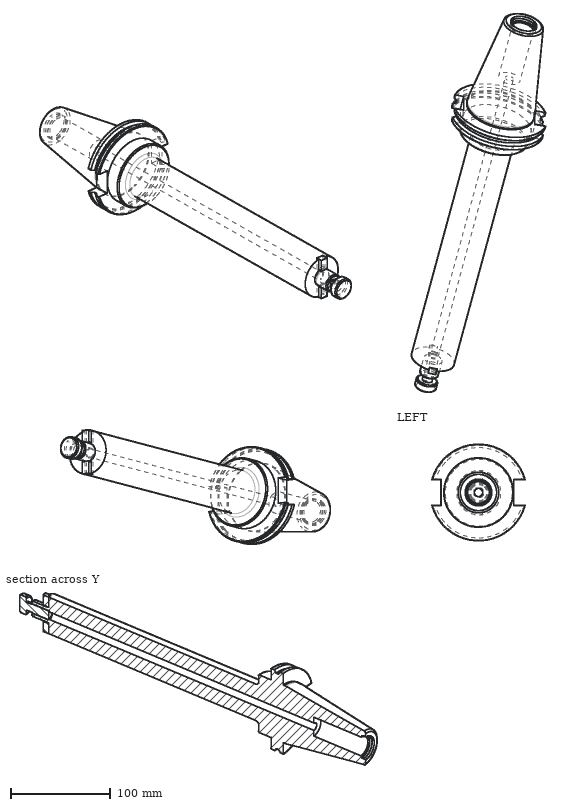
import cadquery as cq

total_length = 439.5
gauge_x = 101.5
flange_front_x = 105.0
flange_rear_x = 121.0
collar_end_x = 136.7
body_end_x = 405.8
pilot_end_x = 424.2
screw_head_x = 431.0

taper_small_diameter = 41.0
neck_diameter = 70.0
neck_relief_diameter = 69.5
flange_diameter = 97.0
collar_diameter = 70.0
body_diameter = 44.5
pilot_diameter = 19.0
pilot_relief_diameter = 18.5

taper_end_chamfer_length = 1.8
taper_end_chamfer_height = 2.0
neck_relief_width = 1.5
flange_rear_chamfer = 1.0
collar_chamfer = 1.5
body_root_fillet = 3.0
pilot_relief_flat = 1.5
pilot_relief_taper = 1.5
pilot_chamfer = 1.5

groove_center_x = 112.5
groove_top_width = 7.0
groove_floor_width = 2.5
groove_depth = 3.0

slot_width = 26.0
slot_floor_plus_y = 38.0
slot_floor_minus_y = 35.5

mouth_diameter = 27.0
mouth_depth = 2.5
counterbore_diameter = 26.5
counterbore_depth = 5.3
bore_lead_in_diameter = 25.0
bore_lead_in_length = 1.0
bore_diameter = 22.0
bore_depth = 66.0
channel_diameter = 8.5

screw_head_diameter = 22.0
screw_head_chamfer = 1.5
screw_shank_diameter = 10.0
screw_engagement = 22.0

key_width = 8.0
key_start_x = 403.0
key_end_x = 409.7
key_inner_z = 9.5
key_outer_z = body_diameter / 2


def cylinder_along_x(diameter, x_start, x_end):
    """Cylinder on the tool axis between two stations."""
    circle = cq.Workplane("YZ", origin=(x_start, 0, 0)).circle(diameter / 2)
    return circle.extrude(x_end - x_start)


def revolve_about_x(profile):
    """Full turn of a half-profile about the tool axis."""
    return profile.close().revolve(360, (0, 0, 0), (1, 0, 0))


def make_holder_blank():
    """Taper, flange, collar, body and pilot turned as one profile."""
    taper_small_radius = taper_small_diameter / 2
    neck_radius = neck_diameter / 2
    neck_relief_radius = neck_relief_diameter / 2
    neck_relief_x = flange_front_x - neck_relief_width
    flange_radius = flange_diameter / 2
    collar_radius = collar_diameter / 2
    body_radius = body_diameter / 2
    pilot_radius = pilot_diameter / 2
    pilot_relief_radius = pilot_relief_diameter / 2
    pilot_relief_end_x = body_end_x + pilot_relief_flat

    profile = (
        cq.Workplane("XY")
        .moveTo(0, 0)
        .lineTo(0, taper_small_radius - taper_end_chamfer_height)
        .lineTo(taper_end_chamfer_length, taper_small_radius)
        .lineTo(gauge_x, neck_radius)
        .lineTo(neck_relief_x, neck_radius)
        .lineTo(neck_relief_x, neck_relief_radius)
        .lineTo(flange_front_x, neck_relief_radius)
        .lineTo(flange_front_x, flange_radius)
        .lineTo(flange_rear_x - flange_rear_chamfer, flange_radius)
        .lineTo(flange_rear_x, flange_radius - flange_rear_chamfer)
        .lineTo(flange_rear_x, collar_radius)
        .lineTo(collar_end_x - collar_chamfer, collar_radius)
        .lineTo(collar_end_x, collar_radius - collar_chamfer)
        .lineTo(collar_end_x, body_radius + body_root_fillet)
        .radiusArc((collar_end_x + body_root_fillet, body_radius), -body_root_fillet)
        .lineTo(body_end_x, body_radius)
        .lineTo(body_end_x, pilot_relief_radius)
        .lineTo(pilot_relief_end_x, pilot_relief_radius)
        .lineTo(pilot_relief_end_x + pilot_relief_taper, pilot_radius)
        .lineTo(pilot_end_x - pilot_chamfer, pilot_radius)
        .lineTo(pilot_end_x, pilot_radius - pilot_chamfer)
        .lineTo(pilot_end_x, 0)
    )
    return revolve_about_x(profile)


def make_flange_groove():
    """Ring with the trapezoidal section of the flange groove."""
    top_radius = flange_diameter / 2
    floor_radius = top_radius - groove_depth
    profile = (
        cq.Workplane("XY")
        .moveTo(groove_center_x - groove_top_width / 2, top_radius)
        .lineTo(groove_center_x - groove_floor_width / 2, floor_radius)
        .lineTo(groove_center_x + groove_floor_width / 2, floor_radius)
        .lineTo(groove_center_x + groove_top_width / 2, top_radius)
    )
    return revolve_about_x(profile)


def make_driving_slot(side, floor_distance):
    """Block that cuts one driving slot through the flange; side is +1 or -1 along Y."""
    flange_thickness = flange_rear_x - flange_front_x
    block_height = flange_diameter / 2
    center_x = flange_front_x + flange_thickness / 2
    center_y = side * (floor_distance + block_height / 2)
    block = cq.Workplane("XY").box(flange_thickness, block_height, slot_width)
    return block.translate((center_x, center_y, 0))


def make_key(side):
    """Rectangular drive key; side is +1 or -1 along Z."""
    key_length = key_end_x - key_start_x
    key_height = key_outer_z - key_inner_z
    center_x = key_start_x + key_length / 2
    center_z = side * (key_inner_z + key_height / 2)
    return cq.Workplane("XY").box(key_length, key_width, key_height).translate((center_x, 0, center_z))


def make_key_slot(side):
    """Block that cuts the seat of one key, open at the body end and at its outer surface."""
    seat_depth = body_end_x - key_start_x
    block_height = body_diameter / 2
    center_x = key_start_x + seat_depth / 2
    center_z = side * (key_inner_z + block_height / 2)
    return cq.Workplane("XY").box(seat_depth, key_width, block_height).translate((center_x, 0, center_z))


def make_rear_bore():
    """Stepped bore entered from the small end, with a narrow channel running on to the screw."""
    mouth_radius = mouth_diameter / 2
    counterbore_radius = counterbore_diameter / 2
    lead_in_radius = bore_lead_in_diameter / 2
    bore_radius = bore_diameter / 2
    channel_radius = channel_diameter / 2
    channel_end_x = pilot_end_x - screw_engagement

    profile = (
        cq.Workplane("XY")
        .moveTo(0, 0)
        .lineTo(0, mouth_radius)
        .lineTo(mouth_depth, mouth_radius)
        .lineTo(mouth_depth, counterbore_radius)
        .lineTo(counterbore_depth, counterbore_radius)
        .lineTo(counterbore_depth, lead_in_radius)
        .lineTo(counterbore_depth + bore_lead_in_length, bore_radius)
        .lineTo(bore_depth, bore_radius)
        .lineTo(bore_depth, channel_radius)
        .lineTo(channel_end_x, channel_radius)
        .lineTo(channel_end_x, 0)
    )
    return revolve_about_x(profile)


def make_holder():
    """Tool holder with its groove, slots, key seats and bores."""
    holder = make_holder_blank().cut(make_flange_groove())
    holder = holder.cut(make_driving_slot(1, slot_floor_plus_y))
    holder = holder.cut(make_driving_slot(-1, slot_floor_minus_y))
    for side in (1, -1):
        holder = holder.cut(make_key_slot(side))
    holder = holder.cut(make_rear_bore())
    return holder.cut(cylinder_along_x(screw_shank_diameter, pilot_end_x - screw_engagement, pilot_end_x))


def make_screw():
    """Clamping screw: chamfered round head on a shank that fills its hole in the pilot."""
    head = cylinder_along_x(screw_head_diameter, screw_head_x, total_length)
    head = head.edges().chamfer(screw_head_chamfer)
    shank = cylinder_along_x(screw_shank_diameter, pilot_end_x - screw_engagement, screw_head_x)
    return head.union(shank)


holder = make_holder()
screw = make_screw()
keys = [make_key(side) for side in (1, -1)]

result = cq.Compound.makeCompound([holder.val(), screw.val(), *[key.val() for key in keys]])